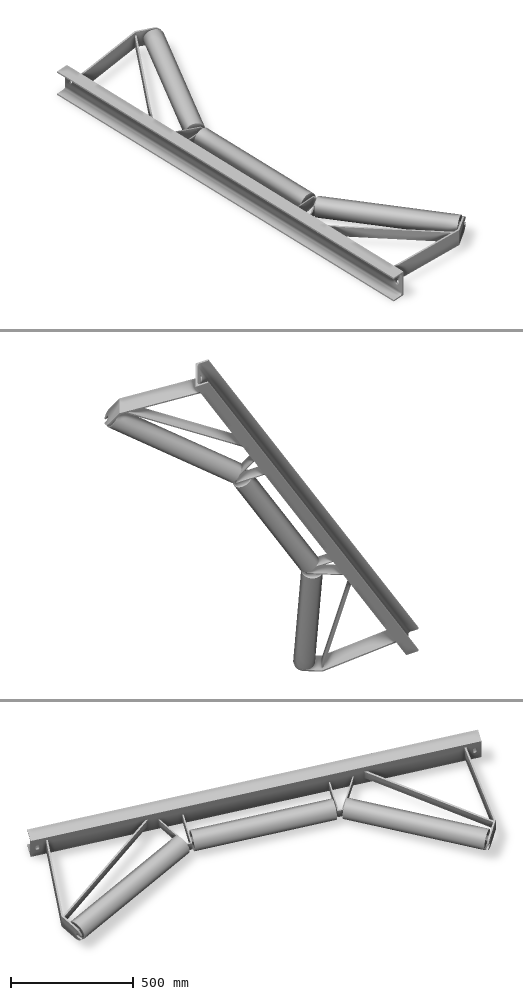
import cadquery as cq
import math


beam_length = 1900.0
beam_height = 125.0
beam_depth = 57.0
web_thickness = 10.0
flange_thickness = 8.0
root_radius = 10.0

slot_width = 17.0
slot_height = 35.0
slot_offset_x = 922.0

roller_diameter = 90.0
roller_length = 600.0
rim_thickness = 4.0
recess_depth = 5.0
shaft_size = 23.0
wing_angle = 30.0
wing_tilt = 1.8
wing_x = 605.0
wing_y = 274.0
centre_y = 115.0

inner_thickness = 5.0
inner_width = 50.0
outer_thickness = 8.0
outer_width = 80.0
brace_width = 50.0
centre_gap = 5.0
wing_inner_gap = 2.8
wing_outer_gap = 8.0
outer_bracket_z = 2.0
bridge_top_y = 142.0
leg_foot_x = 882.0
bend_y = 365.0
brace_foot_x = 462.0
brace_top_y = 365.0

half_roller = roller_length / 2
wing_cos = math.cos(math.radians(wing_angle))
wing_sin = math.sin(math.radians(wing_angle))
tilt_sin = math.sin(math.radians(wing_tilt))

outer_plate_offset = half_roller + wing_outer_gap + outer_thickness / 2
inner_plate_offset = half_roller + wing_inner_gap + inner_thickness / 2

wing_z = outer_bracket_z - outer_plate_offset * tilt_sin
inner_bracket_z = wing_z - inner_plate_offset * tilt_sin
foot_overrun = 19.0


def along_wing(distance):
    """Plan point on the left side roller's axis, measured from its middle towards the beam centre."""
    return (-wing_x + distance * wing_cos, wing_y - distance * wing_sin)


def on_wing_plate(point, y):
    """Plan point at height y on the line through point parallel to the side roller's end face."""
    return (point[0] + (y - point[1]) * wing_sin / wing_cos, y)


def on_line(start, end, y):
    """Plan point at height y on the line through start and end."""
    return (start[0] + (end[0] - start[0]) * (y - start[1]) / (end[1] - start[1]), y)


def strip(path, thickness, width, z_middle):
    """Flat bar of constant thickness that follows a plan centreline with mitred corners."""
    directions = []
    for (x0, y0), (x1, y1) in zip(path, path[1:]):
        length = math.hypot(x1 - x0, y1 - y0)
        directions.append(((x1 - x0) / length, (y1 - y0) / length))
    left_side = []
    right_side = []
    for (x, y), before, after in zip(path, directions[:1] + directions, directions + directions[-1:]):
        mitre = thickness / 2 / (1 + before[0] * after[0] + before[1] * after[1])
        step_x = -(before[1] + after[1]) * mitre
        step_y = (before[0] + after[0]) * mitre
        left_side.append((x + step_x, y + step_y))
        right_side.append((x - step_x, y - step_y))
    return (
        cq.Workplane("XY", origin=(0, 0, z_middle - width / 2))
        .polyline(left_side + right_side[::-1]).close()
        .extrude(width)
    )


def trim_to_web(body):
    """Cut off everything in front of the web's back face."""
    trim = cq.Workplane("XY").box(beam_length, beam_depth, beam_height).translate((0, -beam_depth / 2, 0))
    return body.cut(trim)


def place_wing(body):
    """Move a body built about the X axis onto the left side roller's axis."""
    tilted = body.rotate((0, 0, 0), (0, 1, 0), wing_tilt)
    swung = tilted.rotate((0, 0, 0), (0, 0, 1), -wing_angle)
    return swung.translate((-wing_x, wing_y, wing_z))


def mirrored_pair(body):
    """The left-hand body and its right-hand mirror image."""
    return [body, body.mirror("YZ")]


def make_beam():
    trough_height = beam_height - 2 * flange_thickness
    channel = cq.Workplane("XY").box(beam_length, beam_depth, beam_height).translate((0, -beam_depth / 2, 0))
    trough = (
        cq.Workplane("XY").box(beam_length, beam_depth, trough_height)
        .edges("|X and >Y").fillet(root_radius)
        .translate((0, -beam_depth / 2 - web_thickness, 0))
    )
    slots = (
        cq.Workplane("XZ").pushPoints([(-slot_offset_x, 0), (slot_offset_x, 0)])
        .slot2D(slot_height, slot_width, 90).extrude(beam_depth)
    )
    return channel.cut(trough).cut(slots)


def make_roller(left_shaft, right_shaft):
    """Roller about the X axis with a square shaft end of the given length on each side."""
    drum = cq.Workplane("YZ", origin=(-half_roller, 0, 0)).circle(roller_diameter / 2).extrude(roller_length)
    recess_radius = roller_diameter / 2 - rim_thickness
    for end_x in (-half_roller, half_roller - recess_depth):
        recess = cq.Workplane("YZ", origin=(end_x, 0, 0)).circle(recess_radius).extrude(recess_depth)
        drum = drum.cut(recess)
    shaft = (
        cq.Workplane("YZ", origin=(-half_roller - left_shaft, 0, 0))
        .rect(shaft_size, shaft_size)
        .extrude(left_shaft + roller_length + right_shaft)
    )
    return drum.union(shaft)


def make_inner_bracket():
    """Left bent bracket: upright plate, short bridge and sloping plate, with holes for two shafts."""
    upright_x = -(half_roller + centre_gap + inner_thickness / 2)
    bridge_y = bridge_top_y - inner_thickness / 2
    slope_point = along_wing(inner_plate_offset)
    path = [
        (upright_x, -foot_overrun),
        (upright_x, bridge_y),
        on_wing_plate(slope_point, bridge_y),
        on_wing_plate(slope_point, -foot_overrun),
    ]
    return trim_to_web(
        strip(path, inner_thickness, inner_width, inner_bracket_z)
    ).cut(centre_roller).cut(left_wing_roller)


def make_outer_bracket():
    """Left outer leg, bent at the top into a round-ended plate with an open shaft slot."""
    tip_radius = outer_width / 2
    tip = (plate_axis[0] + tip_radius * wing_sin, plate_axis[1] + tip_radius * wing_cos)
    path = [on_line(leg_foot, leg_bend, -foot_overrun), leg_bend, tip]
    bar = trim_to_web(strip(path, outer_thickness, outer_width, outer_bracket_z))

    plate_plane = cq.Plane(
        origin=(*plate_axis, outer_bracket_z), xDir=(wing_sin, wing_cos, 0), normal=(wing_cos, -wing_sin, 0)
    )

    def tip_block(height):
        return (
            cq.Workplane(plate_plane).center(tip_radius / 2, 0).rect(tip_radius, height)
            .extrude(outer_thickness, both=True)
        )

    round_end = cq.Workplane(plate_plane).circle(tip_radius).extrude(outer_thickness, both=True)
    corners = tip_block(outer_width).cut(round_end)
    return bar.cut(corners).cut(tip_block(shaft_size)).cut(left_wing_roller)


def make_brace():
    """Left diagonal brace from the outer leg down to the beam, butting against both."""
    foot = (-brace_foot_x, 0)
    top = on_line(leg_foot, leg_bend, brace_top_y)
    bar = strip([top, on_line(top, foot, -foot_overrun)], outer_thickness, brace_width, outer_bracket_z)
    return trim_to_web(bar).cut(left_outer_bracket)


plate_axis = along_wing(-outer_plate_offset)
leg_bend = on_wing_plate(plate_axis, bend_y)
leg_foot = (-leg_foot_x, 0)

beam = make_beam()

centre_shaft = centre_gap + inner_thickness
centre_roller = make_roller(centre_shaft, centre_shaft).translate((0, centre_y, inner_bracket_z))
left_wing_roller = place_wing(
    make_roller(wing_outer_gap + outer_thickness, wing_inner_gap + inner_thickness)
)
left_inner_bracket = make_inner_bracket()
left_outer_bracket = make_outer_bracket()
left_brace = make_brace()

bodies = [beam, centre_roller]
for left_body in (left_wing_roller, left_inner_bracket, left_outer_bracket, left_brace):
    bodies += mirrored_pair(left_body)

result = cq.Compound.makeCompound([body.solids().val() for body in bodies])